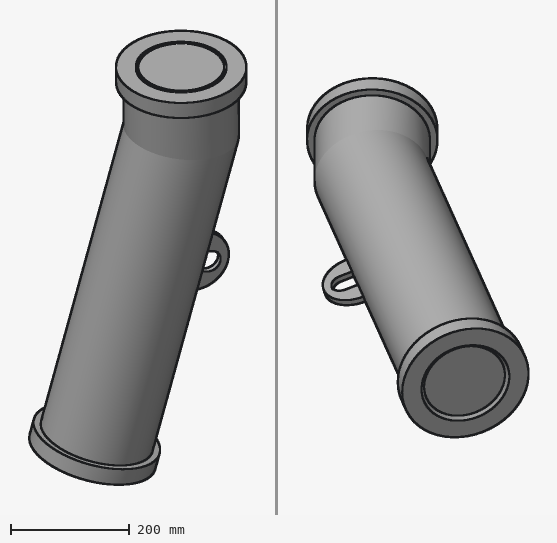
import cadquery as cq
import math

tube_diameter = 195.0
tube_radius = tube_diameter / 2
flange_radius = 110.0
flange_thickness = 30.5
bend_angle = 15.0
upper_length = 128.5
lower_length = 629.0

seat_radius = 76.5
disc_radius = 73.0
groove_depth = 1.5
recess_depth = 6.0
recess_floor_radius = 70.0

lug_distance = 253.0
lug_radius = 56.5
lug_thickness = 11.5
slot_radius = 20.0
slot_offset = 22.0

overlap = 2 * tube_radius * math.tan(math.radians(bend_angle / 2))


def cylinder(radius, bottom, top):
    return cq.Workplane("XY").workplane(offset=bottom).circle(radius).extrude(top - bottom)


def tilt(body):
    """Swing a vertical body about the bend so its lower end moves toward -Y."""
    return body.rotate((0, 0, 0), (1, 0, 0), -bend_angle)


def mitre_half_space():
    """Block above the plane that bisects the two tube axes."""
    size = 4 * flange_radius
    block = cq.Workplane("XY").box(size, size, size, centered=(True, True, False))
    return block.rotate((0, 0, 0), (1, 0, 0), -bend_angle / 2)


def upper_pipe():
    tube = cylinder(tube_radius, -overlap, upper_length).intersect(mitre_half_space())
    flange = cylinder(flange_radius, upper_length - flange_thickness, upper_length)
    groove_floor = upper_length - groove_depth
    groove = cylinder(seat_radius, groove_floor, upper_length).cut(
        cylinder(disc_radius, groove_floor, upper_length)
    )
    return tube.union(flange).cut(groove)


def lower_pipe():
    tube = tilt(cylinder(tube_radius, -lower_length, overlap)).cut(mitre_half_space())
    flange = cylinder(flange_radius, -lower_length, flange_thickness - lower_length)
    recess = (
        cq.Workplane("XY")
        .workplane(offset=-lower_length)
        .circle(seat_radius)
        .workplane(offset=recess_depth)
        .circle(recess_floor_radius)
        .loft()
    )
    return tube.union(tilt(flange)).cut(tilt(recess))


def lug():
    """Round plate centred on the tube surface, with a slot open toward the tube."""
    slot_end = tube_radius + slot_offset
    plate = (
        cq.Workplane("YZ")
        .center(tube_radius, -lug_distance)
        .circle(lug_radius)
        .extrude(lug_thickness / 2, both=True)
    )
    slot = (
        cq.Workplane("YZ")
        .moveTo(0, -lug_distance - slot_radius)
        .lineTo(slot_end, -lug_distance - slot_radius)
        .threePointArc((slot_end + slot_radius, -lug_distance), (slot_end, -lug_distance + slot_radius))
        .lineTo(0, -lug_distance + slot_radius)
        .close()
        .extrude(lug_thickness, both=True)
    )
    return tilt(plate.cut(slot))


result = upper_pipe().union(lower_pipe()).union(lug())